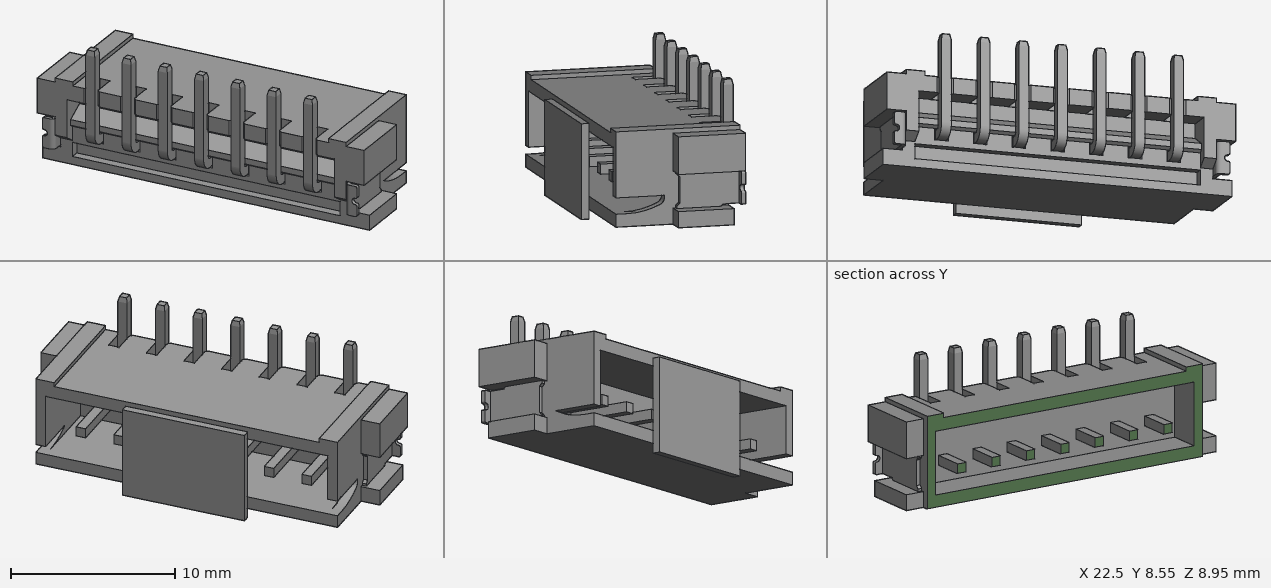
import cadquery as cq
import math


overall_length = 22.5
body_length = 20.02
body_front = 0.2
body_back = 8.05
body_bottom = 0.6
body_top = 6.25
base_front = 0.92
nose_bottom = 2.7
base_top = 2.23

rib_width = 1.22
rib_height = 0.27
ear_back = 4.45
upper_ear_bottom = 3.92
lower_ear_top = 1.62
cap_length = 8.1
cap_top = 5.95
cap_back = 8.55

pocket_length = 18.4
pocket_back = 1.85
slot_back = 1.94
pocket_top = 5.25
slope_top = 4.32
slope_bottom = 3.71
lip_front = 0.7
lip_bottom = 3.33
plate_top = 3.17
groove_bottom = 1.15
groove_top = 2.1
groove_depth = 0.58

long_wall = 0.8
end_wall = 0.65
cavity_length = body_length - 2 * end_wall
cavity_bottom = body_bottom + long_wall
cavity_top = body_top - long_wall
cavity_front = slot_back + long_wall
window_front = 5.0
window_bend = 7.34
window_radius = 4.84
window_knee = 5.26
left_window_top = 2.43
right_window_top = 1.95

pin_count = 7
pin_pitch = 2.5
pin_size = 0.63
pin_top = 8.95
pin_tip_length = 0.34
pin_tip_inset = 0.079
pin_bend_start = 3.33
pin_inner_radius = 0.2
pin_outer_radius = pin_inner_radius + pin_size
pin_bottom = pin_bend_start - pin_outer_radius
pin_end = 6.98
pin_positions = [(i - (pin_count - 1) / 2) * pin_pitch for i in range(pin_count)]

slot_width = 0.7
slot_mouth_width = 1.05
slot_mouth_depth = 0.18
notch_bottom = 2.45
notch_mouth_width = 0.88
notch_depth = 0.22

clip_thickness = 0.27
clip_bend_radius = 0.32
clip_front = 0.07
clip_back = 4.28
clip_tip = 10.82
clip_shoulder = 1.48
clip_margin = 0.14
clip_recess = 0.18
clip_recess_margin = 0.34
clip_notch_width = 0.4
clip_notch_end = 10.48
clip_corner = 0.11


def box(x_range, y_range, z_range):
    """Axis-aligned block between the given limits."""
    (x0, x1), (y0, y1), (z0, z1) = x_range, y_range, z_range
    return cq.Workplane("XY").box(x1 - x0, y1 - y0, z1 - z0, centered=False).translate((x0, y0, z0))


def centered_box(length, y_range, z_range):
    """Block centred on X = 0."""
    return box((-length / 2, length / 2), y_range, z_range)


def side_prism(points, length):
    """Prism centred on X = 0 with a (Y, Z) outline."""
    return cq.Workplane("YZ").polyline(points).close().extrude(length / 2, both=True)


def plan_prism(points, z_range):
    """Upright prism with an (X, Y) outline."""
    z0, z1 = z_range
    return cq.Workplane("XY").workplane(offset=z0).polyline(points).close().extrude(z1 - z0)


def both_ends(shape):
    """The shape together with its mirror image across X = 0."""
    return shape.union(shape.mirror("YZ"))


def housing_block():
    body = side_prism(
        [
            (base_front, body_bottom),
            (body_back, body_bottom),
            (body_back, body_top),
            (body_front, body_top),
            (body_front, nose_bottom),
            (base_front, base_top),
        ],
        body_length,
    )
    upper_ears = centered_box(overall_length, (body_front, ear_back), (upper_ear_bottom, body_top))
    lower_ears = centered_box(overall_length, (base_front, ear_back), (body_bottom, lower_ear_top))
    rib = box(
        (-body_length / 2, -body_length / 2 + rib_width),
        (body_front, body_back),
        (body_top, body_top + rib_height),
    )
    cap = centered_box(cap_length, (body_back, cap_back), (0, cap_top))
    return body.union(upper_ears).union(lower_ears).union(both_ends(rib)).union(cap)


def front_pocket():
    """Recess under the roof, bounded behind by a sloping lip and the pin plate."""
    return side_prism(
        [
            (0, pocket_top),
            (pocket_back, pocket_top),
            (pocket_back, slope_top),
            (lip_front, slope_bottom),
            (lip_front, lip_bottom),
            (base_front, plate_top),
            (base_front, groove_top),
            (0, groove_top),
        ],
        pocket_length,
    )


def base_groove():
    return centered_box(pocket_length, (0, base_front + groove_depth), (groove_bottom, groove_top))


def mating_cavity():
    return centered_box(cavity_length, (cavity_front, body_back), (cavity_bottom, cavity_top))


def end_window(top, x_start):
    """Window through an end wall: its floor sweeps up and turns into the front edge."""

    def sweep_point(y):
        rise = window_radius - math.sqrt(window_radius**2 - (window_bend - y) ** 2)
        return (y, cavity_bottom + rise)

    full = (
        cq.Workplane("YZ")
        .workplane(offset=x_start)
        .moveTo(body_back, cavity_bottom)
        .lineTo(window_bend, cavity_bottom)
        .threePointArc(sweep_point((window_bend + window_knee) / 2), sweep_point(window_knee))
        .tangentArcPoint((window_front, left_window_top), relative=False)
        .lineTo(body_back, left_window_top)
        .close()
        .extrude(end_wall)
    )
    x_range = (x_start, x_start + end_wall)
    return full.intersect(box(x_range, (body_front, body_back), (cavity_bottom, top)))


def roof_slot(x):
    """Slot through the roof around an upright pin, flared at its front mouth."""
    half, half_mouth = slot_width / 2, slot_mouth_width / 2
    flare_end = body_front + slot_mouth_depth
    outline = [
        (x - half_mouth, body_front),
        (x + half_mouth, body_front),
        (x + half, flare_end),
        (x + half, slot_back),
        (x - half, slot_back),
        (x - half, flare_end),
    ]
    return plan_prism(outline, (pocket_top, body_top))


def plate_notch(x):
    """Notch in the pin plate that narrows onto the bent pin."""
    outline = [
        (x - notch_mouth_width / 2, base_front),
        (x + notch_mouth_width / 2, base_front),
        (x + pin_size / 2, base_front + notch_depth),
        (x - pin_size / 2, base_front + notch_depth),
    ]
    return plan_prism(outline, (notch_bottom, plate_top))


def pin(x):
    """Square pin: upright leg with a tapered tip, bend, and leg into the cavity."""
    shoulder = pin_top - pin_tip_length
    outer_mid = pin_outer_radius * math.sqrt(0.5)
    inner_mid = pin_inner_radius * math.sqrt(0.5)
    bend_y = pin_outer_radius
    bend_z = pin_bend_start
    leg_top = bend_z - pin_inner_radius
    bent = (
        cq.Workplane("YZ")
        .moveTo(0, shoulder)
        .lineTo(0, bend_z)
        .threePointArc((bend_y - outer_mid, bend_z - outer_mid), (bend_y, pin_bottom))
        .lineTo(pin_end, pin_bottom)
        .lineTo(pin_end, leg_top)
        .lineTo(bend_y, leg_top)
        .threePointArc((bend_y - inner_mid, bend_z - inner_mid), (pin_size, bend_z))
        .lineTo(pin_size, shoulder)
        .close()
        .extrude(pin_size / 2, both=True)
    )
    tip_size = pin_size - 2 * pin_tip_inset
    tip = (
        cq.Workplane("XY")
        .workplane(offset=shoulder)
        .center(0, pin_size / 2)
        .rect(pin_size, pin_size)
        .workplane(offset=pin_tip_length)
        .rect(tip_size, tip_size)
        .loft(ruled=True)
    )
    return bent.union(tip).translate((x, 0, 0))


def solder_clip():
    """Bent strip against the left end wall, turned outward at the front."""
    wall_x = -body_length / 2
    face_x = wall_x - clip_thickness
    bend_x = wall_x - clip_bend_radius
    bend_y = clip_front + clip_bend_radius
    bend_mid = clip_bend_radius * math.sqrt(0.5)
    strip = (
        cq.Workplane("XY")
        .workplane(offset=lower_ear_top)
        .moveTo(wall_x, clip_back)
        .lineTo(wall_x, bend_y)
        .threePointArc((bend_x + bend_mid, bend_y - bend_mid), (bend_x, clip_front))
        .lineTo(-clip_tip, clip_front)
        .lineTo(-clip_tip, clip_front + clip_thickness)
        .lineTo(face_x, clip_front + clip_thickness)
        .lineTo(face_x, clip_back)
        .close()
        .extrude(upper_ear_bottom - lower_ear_top)
    )
    low, high = lower_ear_top, upper_ear_bottom
    front_low, front_high = low + clip_margin, high - clip_margin
    recess_low, recess_high = low + clip_recess_margin, high - clip_recess_margin
    side_outline = side_prism(
        [
            (0, front_low),
            (clip_shoulder - clip_margin, front_low),
            (clip_shoulder, low),
            (clip_back, low),
            (clip_back, recess_low - clip_recess),
            (clip_back - clip_recess, recess_low),
            (clip_back - clip_recess, recess_high),
            (clip_back, recess_high + clip_recess),
            (clip_back, high),
            (clip_shoulder, high),
            (clip_shoulder - clip_margin, front_high),
            (0, front_high),
        ],
        overall_length,
    )
    middle = (low + high) / 2
    notch_radius = clip_notch_width / 2
    notch_center = -clip_notch_end - notch_radius
    notch_y = (0, bend_y)
    notch = box((-clip_tip, notch_center), notch_y, (middle - notch_radius, middle + notch_radius))
    notch_round = (
        cq.Workplane("XZ").center(notch_center, middle).circle(notch_radius).extrude(-bend_y)
    )
    clip = strip.intersect(side_outline).cut(notch).cut(notch_round)
    return clip.edges("|Y").edges("<X").fillet(clip_corner)


housing = housing_block().cut(front_pocket()).cut(base_groove()).cut(mating_cavity())
housing = housing.cut(end_window(left_window_top, -body_length / 2))
housing = housing.cut(end_window(right_window_top, cavity_length / 2))
for pin_x in pin_positions:
    housing = housing.cut(roof_slot(pin_x)).cut(plate_notch(pin_x))
for pin_x in pin_positions:
    housing = housing.union(pin(pin_x))

result = housing.union(both_ends(solder_clip()))